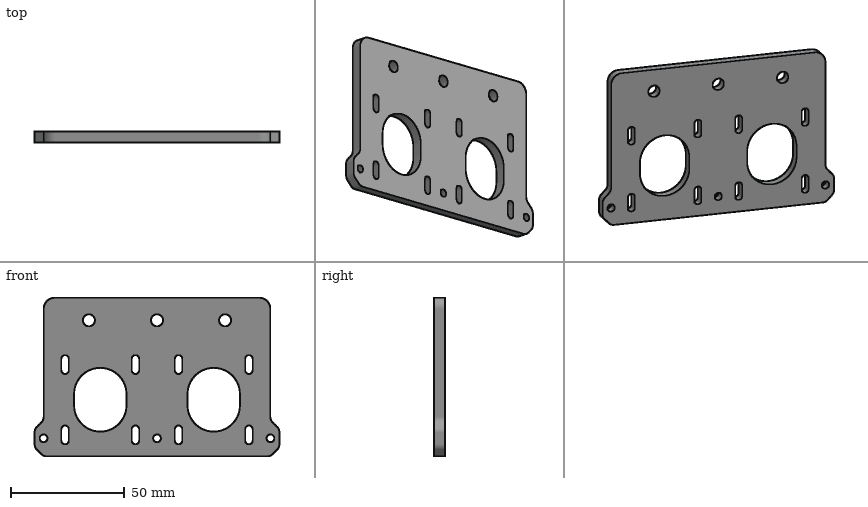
import cadquery as cq

thickness = 5.0
height = 70.0
body_width = 100.0
top_corner_radius = 5.0

ear_reach = 4.0
ear_hole_height = 8.0
ear_half_flat = 4.0
ear_blend_radius = 3.5

small_hole_diameter = 3.33
small_hole_spacing = body_width / 2
top_hole_diameter = 5.2
top_hole_spacing = 30.0
top_hole_edge_distance = 10.0

motor_spacing = 50.0
motor_height = 25.0
motor_opening_diameter = 23.0
motor_screw_spacing = 31.0
motor_screw_slot_width = 3.2
adjustment_travel = 5.0

half_body = body_width / 2
half_overall = half_body + ear_reach
ear_flat_bottom = ear_hole_height - ear_half_flat
ear_flat_top = ear_hole_height + ear_half_flat
ear_root = ear_flat_top + ear_reach


def make_plate():
    """Plate outline with its ears, extruded along +Y and rounded at every corner."""
    right_side = [
        (half_overall - ear_flat_bottom, 0),
        (half_overall, ear_flat_bottom),
        (half_overall, ear_flat_top),
        (half_body, ear_root),
        (half_body, height),
    ]
    left_side = [(-x, z) for x, z in reversed(right_side)]
    plate = cq.Workplane("XZ").polyline(right_side + left_side).close().extrude(-thickness)

    corner_edges = plate.edges("|Y")
    top_corners = corner_edges.edges(">Z")
    ear_corners = corner_edges.edges("not >Z")
    plate = plate.newObject(ear_corners.vals()).fillet(ear_blend_radius)
    return plate.newObject(top_corners.vals()).fillet(top_corner_radius)


def round_holes(centers, diameter):
    """Cylinders through the full thickness."""
    return cq.Workplane("XZ").pushPoints(centers).circle(diameter / 2).extrude(-thickness)


def vertical_slots(centers, width):
    """Vertical obrounds of the given width through the full thickness."""
    slot_length = width + adjustment_travel
    return cq.Workplane("XZ").pushPoints(centers).slot2D(slot_length, width, 90).extrude(-thickness)


def row(spacing, z):
    """Three points centred on X = 0."""
    return [(i * spacing, z) for i in (-1, 0, 1)]


def motor_cutout(center_x):
    """Large opening and four screw slots of one motor mount."""
    offset = motor_screw_spacing / 2
    screws = [
        (center_x + side * offset, motor_height + level * offset)
        for side in (-1, 1)
        for level in (-1, 1)
    ]
    opening = vertical_slots([(center_x, motor_height)], motor_opening_diameter)
    return opening.add(vertical_slots(screws, motor_screw_slot_width)).combine()


result = make_plate()
result = result.cut(round_holes(row(small_hole_spacing, ear_hole_height), small_hole_diameter))
result = result.cut(round_holes(row(top_hole_spacing, height - top_hole_edge_distance), top_hole_diameter))
for motor_side in (-1, 1):
    result = result.cut(motor_cutout(motor_side * motor_spacing / 2))